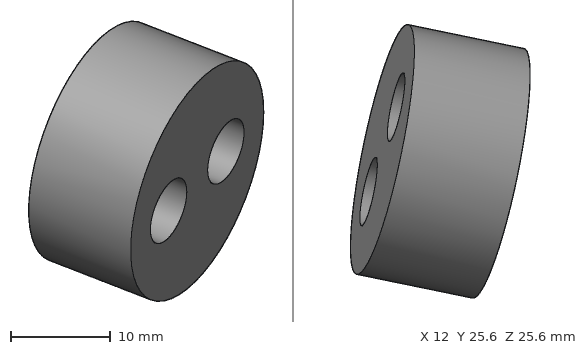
import cadquery as cq

disc_diameter = 25.6
disc_thickness = 12.0
hole_diameter = 7.0
hole_spacing = 11.0

disc = cq.Workplane("YZ").circle(disc_diameter / 2).extrude(disc_thickness)

hole_centers = [(-hole_spacing / 2, 0), (hole_spacing / 2, 0)]
holes = (
    cq.Workplane("YZ")
    .pushPoints(hole_centers)
    .circle(hole_diameter / 2)
    .extrude(disc_thickness)
)

result = disc.cut(holes)